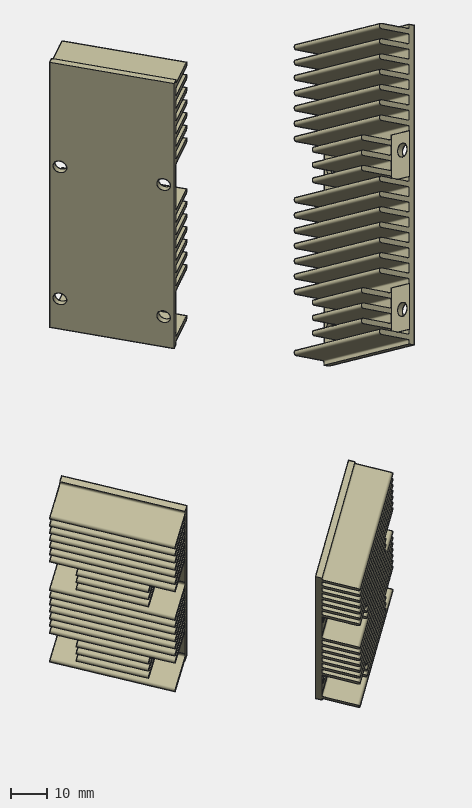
import cadquery as cq

width = 35.6
depth = 12.7
height = 89.9
plate_thickness = 1.9

fin_count = 21
fin_end_margin = 2.0
fin_pitch = (height - 2 * fin_end_margin) / (fin_count - 1)
fin_thickness = 1.5
fin_tip_radius = 0.7
fin_root_radius = 0.45

hole_diameter = 3.9
hole_edge_offset = 3.0
upper_hole_z = 55.0
hole_spacing_z = 44.8

clearance_width = 7.55
clearance_floor = 1.8
cut_fins_per_clearance = 3
first_cut_fins = (1, 11)


def fin_z(index):
    """Mid-plane height of a fin, counted from the bottom."""
    return fin_end_margin + index * fin_pitch


def make_plate():
    return cq.Workplane("XY").box(width, plate_thickness, height, centered=(True, False, False))


def make_fin(index):
    """Fin with rounded tip edges and concave fillets where it meets the plate."""
    half = fin_thickness / 2
    root = half + fin_root_radius
    tip = half - fin_tip_radius
    z = fin_z(index)
    inner_y = plate_thickness + fin_root_radius
    outer_y = depth - fin_tip_radius
    return (
        cq.Workplane("YZ", origin=(-width / 2, 0, z))
        .moveTo(0, -root)
        .lineTo(plate_thickness, -root)
        .radiusArc((inner_y, -half), fin_root_radius)
        .lineTo(outer_y, -half)
        .radiusArc((depth, -tip), -fin_tip_radius)
        .lineTo(depth, tip)
        .radiusArc((outer_y, half), -fin_tip_radius)
        .lineTo(inner_y, half)
        .radiusArc((plate_thickness, root), fin_root_radius)
        .lineTo(0, root)
        .close()
        .extrude(width)
    )


def make_clearance(side, first_fin):
    """Block that removes the ends of neighbouring fins and skims the plate."""
    bottom = fin_z(first_fin - 0.5)
    length = cut_fins_per_clearance * fin_pitch
    return cq.Workplane("XY").box(
        clearance_width, depth - clearance_floor, length, centered=(True, False, False)
    ).translate((side * (width - clearance_width) / 2, clearance_floor, bottom))


def make_hole(side, z):
    x = side * (width / 2 - hole_edge_offset)
    return cq.Workplane("XZ", origin=(x, 0, z)).circle(hole_diameter / 2).extrude(-depth)


result = make_plate()
for fin_index in range(fin_count):
    result = result.union(make_fin(fin_index))

for side in (-1, 1):
    for first_fin in first_cut_fins:
        result = result.cut(make_clearance(side, first_fin))
    for hole_z in (upper_hole_z, upper_hole_z - hole_spacing_z):
        result = result.cut(make_hole(side, hole_z))